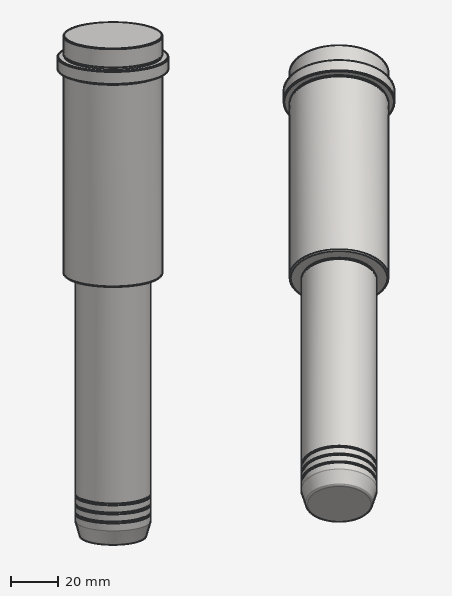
import cadquery as cq
import math

total_length = 220.0
head_length = 105.0
collar_top_depth = 9.2
collar_height = 6.0

collar_diameter = 47.0
head_diameter = 42.0
shank_diameter = 32.1

collar_chamfer = 0.5
head_bottom_chamfer = 0.7
head_top_chamfer = 0.5

relief_width = 0.9
relief_depth = 0.5

taper_length = 7.0
taper_angle = 16.0
tip_fillet = 0.9

groove_count = 3
groove_pitch = 4.0
groove_width = 0.9
groove_depth = 0.7
lowest_groove_bottom = 10.1

head_bottom = total_length - head_length
collar_top = total_length - collar_top_depth
collar_bottom = collar_top - collar_height


def cylinder(diameter, bottom, top):
    """Solid cylinder on the Z axis between two heights."""
    return cq.Workplane("XY").workplane(offset=bottom).circle(diameter / 2).extrude(top - bottom)


def ring_groove(diameter, bottom, width, depth):
    """Ring that cuts one square groove into a shaft of the given diameter."""
    top = bottom + width
    outer = cylinder(diameter + 2 * depth, bottom, top)
    return outer.cut(cylinder(diameter - 2 * depth, bottom, top))


def make_tip():
    """Cone below the shank with a rounded lower edge."""
    shank_radius = shank_diameter / 2
    tip_radius = shank_radius - taper_length * math.tan(math.radians(taper_angle))
    profile = [(0, 0), (tip_radius, 0), (shank_radius, taper_length), (0, taper_length)]
    cone = cq.Workplane("XZ").polyline(profile).close().revolve(360, (0, 0), (0, 1))
    return cone.faces("<Z").edges().fillet(tip_fillet)


def make_shank():
    """Shank with its tapered tip, ring grooves and a relief under the head."""
    shank = make_tip().union(cylinder(shank_diameter, taper_length, head_bottom))
    for index in range(groove_count):
        groove_bottom = lowest_groove_bottom + index * groove_pitch
        shank = shank.cut(ring_groove(shank_diameter, groove_bottom, groove_width, groove_depth))
    relief_bottom = head_bottom - relief_width
    return shank.cut(ring_groove(shank_diameter, relief_bottom, relief_width, relief_depth))


def make_head():
    """Head cylinder, chamfered at both ends, with a relief on each side of the collar."""
    head = cylinder(head_diameter, head_bottom, total_length)
    head = head.faces("<Z").chamfer(head_bottom_chamfer)
    head = head.faces(">Z").chamfer(head_top_chamfer)
    for relief_bottom in (collar_bottom - relief_width, collar_top):
        head = head.cut(ring_groove(head_diameter, relief_bottom, relief_width, relief_depth))
    return head


def make_collar():
    """Collar around the head, chamfered on both outer edges."""
    collar = cylinder(collar_diameter, collar_bottom, collar_top)
    return collar.faces("<Z or >Z").chamfer(collar_chamfer)


result = make_shank().union(make_head()).union(make_collar())